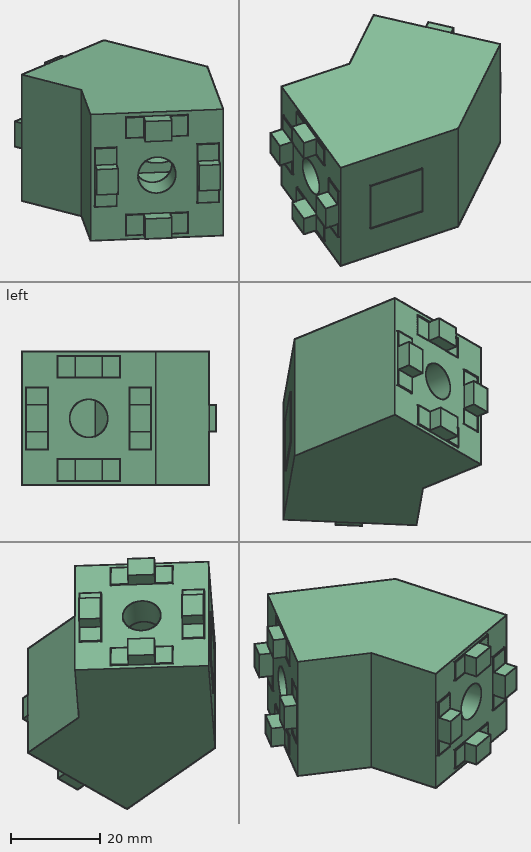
import cadquery as cq
import math

leg_width = 30.0
inner_length = 17.0
bend_angle = 45.0
bend_step = leg_width * math.tan(math.radians(bend_angle / 2))
outer_length = inner_length + bend_step
centre_length = inner_length + bend_step / 2
bore_diameter = 8.55

base_length = 13.8
base_width = 4.8
base_thickness = 2.0
tab_length = 6.0
tab_height = 3.05
clip_radius = 11.55
clip_offset = 0.2
slot_clearance = 0.1

end_wall = 7.45
chamber_length = 13.0
chamber_height = chamber_length
chamber_depth = 20.9
cover_proud = 0.2
cover_depth = 1.3

turn = math.radians(bend_angle)
leg_axis = cq.Vector(math.cos(turn), -math.sin(turn), 0)
leg_across = cq.Vector(math.sin(turn), math.cos(turn), 0)

bend_centre = cq.Vector(centre_length, 0, 0)
inner_bend = cq.Vector(inner_length, -leg_width / 2, 0)
outer_bend = cq.Vector(outer_length, leg_width / 2, 0)
angled_end_centre = bend_centre + leg_axis * centre_length
chamber_mouth = outer_bend + leg_axis * (outer_length - end_wall - chamber_length / 2)

straight_end = cq.Plane(origin=(0, 0, 0), xDir=(0, -1, 0), normal=(-1, 0, 0))
angled_end = cq.Plane(origin=angled_end_centre, xDir=leg_across, normal=leg_axis)
outer_wall = cq.Plane(origin=chamber_mouth, xDir=leg_axis * -1, normal=leg_across)

clip_seats = [
    (straight_end, 0, -clip_offset),
    (straight_end, 90, -clip_offset),
    (straight_end, 180, clip_offset),
    (straight_end, 270, clip_offset),
]
for quarter in range(4):
    clip_seats.append((angled_end, 90 * quarter, clip_offset))


def seat_plane(end_plane, angle, height):
    """Plane on the top of a clip base, with local x pointing away from the leg axis."""
    turned = end_plane.rotated((0, 0, angle))
    turned.origin = turned.toWorldCoords((clip_radius, 0, height))
    return turned


def make_clip(plane):
    base = cq.Workplane(plane).rect(base_width, base_length).extrude(-base_thickness)
    tab = cq.Workplane(plane).rect(base_width, tab_length).extrude(tab_height)
    return base.union(tab)


def make_slot(plane):
    """Pocket for a clip base, with its floor under the base and its top clear of the face."""
    floor = plane.toWorldCoords((0, 0, -base_thickness))
    slot_plane = cq.Plane(origin=floor, xDir=plane.xDir, normal=plane.zDir)
    width = base_width + 2 * slot_clearance
    length = base_length + 2 * slot_clearance
    return cq.Workplane(slot_plane).rect(width, length).extrude(base_thickness + clip_offset)


def make_chamber():
    section = cq.Workplane(outer_wall).rect(chamber_length, chamber_height)
    return section.extrude(-chamber_depth)


def make_bores():
    """One bore from each end face into the chamber."""
    bore_radius = bore_diameter / 2
    straight_depth = outer_length + bore_radius
    straight = cq.Workplane(straight_end).circle(bore_radius).extrude(-straight_depth)
    angled = cq.Workplane(angled_end).circle(bore_radius).extrude(-end_wall)
    return straight, angled


def make_housing():
    corners = [
        cq.Vector(0, -leg_width / 2, 0),
        inner_bend,
        inner_bend + leg_axis * inner_length,
        outer_bend + leg_axis * outer_length,
        outer_bend,
        cq.Vector(0, leg_width / 2, 0),
    ]
    outline = [(corner.x, corner.y) for corner in corners]
    body = cq.Workplane("XY").polyline(outline).close().extrude(leg_width / 2, both=True)
    body = body.cut(make_chamber())
    for bore in make_bores():
        body = body.cut(bore)
    for seat in clip_seats:
        body = body.cut(make_slot(seat_plane(*seat)))
    return body


def make_cover():
    section = cq.Workplane(outer_wall).workplane(offset=-cover_depth)
    return section.rect(chamber_length, chamber_height).extrude(cover_depth + cover_proud)


housing = make_housing()
cover = make_cover()
clips = [make_clip(seat_plane(*seat)) for seat in clip_seats]

result = cq.Compound.makeCompound([housing.val(), cover.val(), *[clip.val() for clip in clips]])